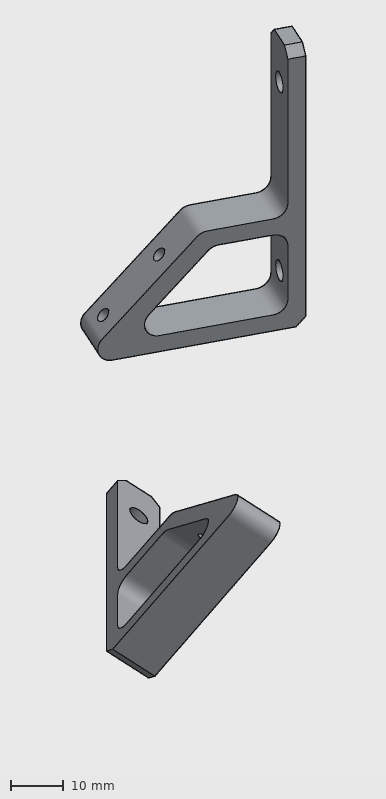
import cadquery as cq
import math

width = 10.0
depth = 41.7
height = 62.0

wall = 3.6
shelf_height = 25.0
arm_thickness = 4.1
corner_radius = 3.0
chamfer = 2.0

wall_hole_diameter = 4.2
wall_hole_inset = 10.0

arm_hole_diameter = 2.8
arm_hole_depth = 6.0
arm_hole_heights = (7.05, 18.3)
arm_hole_x = -0.2

outer_reach = depth + corner_radius * (math.sqrt(2) - 1) + corner_radius
inner_reach = outer_reach - arm_thickness * math.sqrt(2)


def extrude_profile(points):
    """Extrude a (forward reach, height) outline across the width, centred on X."""
    outline = [(-reach, z) for reach, z in points]
    return cq.Workplane("YZ").polyline(outline).close().extrude(width / 2, both=True)


def round_edges(body, corners):
    """Round the edges running along X at the given (forward reach, height) corners."""
    for reach, z in corners:
        body = body.edges(cq.selectors.NearestToPointSelector((0, -reach, z))).fillet(corner_radius)
    return body


def make_body():
    inside_corner = (wall, shelf_height)
    shelf_corner = (outer_reach - shelf_height, shelf_height)
    nose_corner = (outer_reach, 0)
    body = extrude_profile([
        (chamfer, 0),
        nose_corner,
        shelf_corner,
        inside_corner,
        (wall, height),
        (0, height),
        (0, chamfer),
    ])
    body = round_edges(body, [inside_corner, shelf_corner, nose_corner])
    return body.faces(">Z").edges("|Y").chamfer(chamfer)


def make_window():
    window_top = shelf_height - wall
    window = extrude_profile([
        (wall, wall),
        (inner_reach - wall, wall),
        (inner_reach - window_top, window_top),
        (wall, window_top),
    ])
    return window.edges("|X").fillet(corner_radius)


def make_wall_hole(z):
    return cq.Workplane(
        cq.Solid.makeCylinder(wall_hole_diameter / 2, wall, cq.Vector(0, -wall, z), cq.Vector(0, 1, 0))
    )


def make_arm_hole(z):
    mouth = cq.Vector(arm_hole_x, z - outer_reach, z)
    inward = cq.Vector(0, 1, -1).normalized()
    start = mouth - inward * arm_hole_diameter
    return cq.Workplane(
        cq.Solid.makeCylinder(arm_hole_diameter / 2, arm_hole_depth + arm_hole_diameter, start, inward)
    )


result = make_body().cut(make_window())
for hole_height in (wall_hole_inset, height - wall_hole_inset):
    result = result.cut(make_wall_hole(hole_height))
for hole_height in arm_hole_heights:
    result = result.cut(make_arm_hole(hole_height))